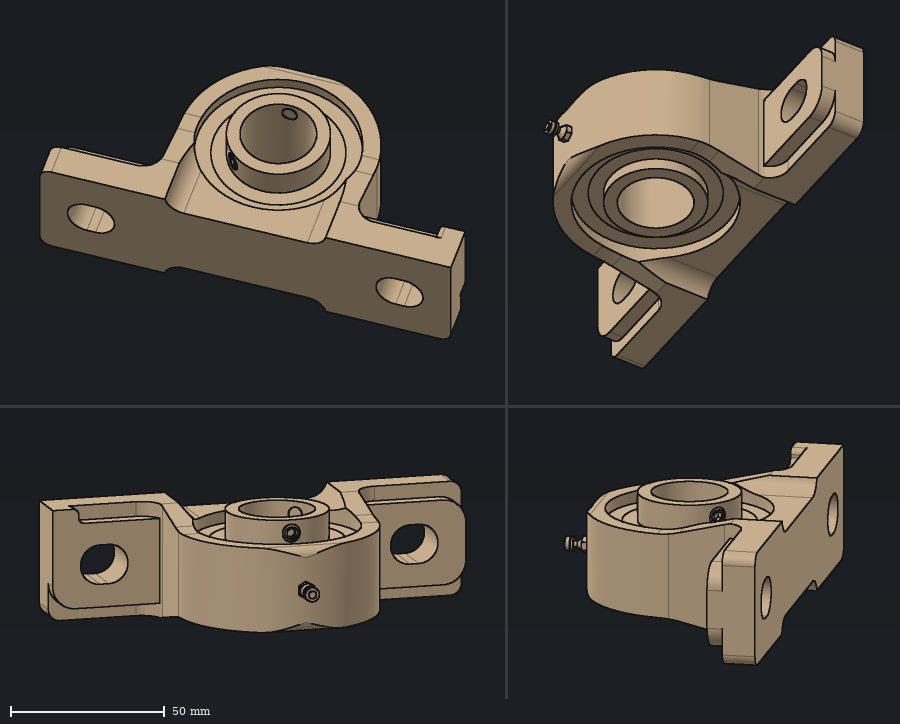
import cadquery as cq
import math


foot_length = 140.0
foot_depth = 38.1
foot_corner_radius = 3.9
foot_floor = 10.9
pad_top = 16.0
pad_depth = 28.3
pad_corner_radius = 7.7
end_block_length = 6.9
end_block_radius = 2.0
bolt_spacing = 105.0
slot_length = 16.0
slot_width = 13.0

bore_height = 36.5
head_radius = 33.5
head_depth = 28.3
top_round = 3.4
side_fillet = 7.0
bend_radius = 32.2
recess_radius = 27.5
waist_half_width = 21.0
waist_arc_radius = 6.6

insert_radius = 22.0
insert_half_width = 10.1
collar_radius = 17.0
collar_top = 19.7
insert_back = 14.3
shaft_radius = 12.5
screw_radius = 3.0
screw_rim_width = 0.8
screw_height = 15.3
screw_directions = (90.0, 225.0)
socket_across_flats = 3.0
socket_depth = 2.0
screw_tip_radius = 2.5
screw_tip_distance = 12.6

hex_across_flats = 4.9
hex_length = 2.0
neck_radius = 1.1
neck_start = 3.6
nipple_head_start = 4.9
nipple_head_end = 7.5
nipple_head_radius = 2.4
nipple_groove_start = 5.7
nipple_groove_width = 0.3
nipple_groove_depth = 0.3
nipple_tip_radius = 1.3
nipple_length = 8.0
stem_radius = 1.7
stem_length = 4.2

half_length = foot_length / 2
half_foot_depth = foot_depth / 2
half_pad_depth = pad_depth / 2
half_head_depth = head_depth / 2
head_top = bore_height + head_radius


def plate(width, depth, height):
    """Block centred on X and Z that stands on Y = 0."""
    return cq.Workplane("XY").box(width, height, depth, centered=(True, False, True))


def cylinder_z(radius, bottom, top):
    """Cylinder around the bore axis between two Z levels."""
    disc = cq.Workplane("XY", origin=(0, bore_height, bottom)).circle(radius)
    return disc.extrude(top - bottom)


def foot():
    """Foot plate with a raised pad and a square block, eased in by an S curve, on its +X, +Z corner."""
    base = plate(foot_length, foot_depth, foot_floor).edges("|Y").fillet(foot_corner_radius)
    pad = plate(foot_length, pad_depth, pad_top).edges("|Y").fillet(pad_corner_radius)
    block_start = half_length - end_block_length
    step = block_start - end_block_radius
    corner = (
        cq.Workplane("XZ")
        .moveTo(half_length, 0)
        .lineTo(half_length, half_foot_depth)
        .lineTo(block_start, half_foot_depth)
        .radiusArc((step, half_foot_depth - end_block_radius), -end_block_radius)
        .lineTo(step, half_pad_depth + end_block_radius)
        .radiusArc((step - end_block_radius, half_pad_depth), end_block_radius)
        .lineTo(step - end_block_radius, 0)
        .close()
        .extrude(-pad_top)
    )
    return base.union(pad).union(corner)


def head_outline():
    """Front outline of the head, running out into the foot with concave fillets."""
    fillet_end = head_radius + side_fillet
    fillet_top = foot_floor + side_fillet
    return (
        cq.Workplane("XY", origin=(0, 0, -half_foot_depth))
        .moveTo(-fillet_end, 0)
        .lineTo(-fillet_end, foot_floor)
        .radiusArc((-head_radius, fillet_top), -side_fillet)
        .lineTo(-head_radius, bore_height)
        .threePointArc((0, head_top), (head_radius, bore_height))
        .lineTo(head_radius, fillet_top)
        .radiusArc((fillet_end, foot_floor), -side_fillet)
        .lineTo(fillet_end, 0)
        .close()
        .extrude(foot_depth)
    )


def head_side_profile():
    """Side outline: full foot depth below, tapering to the head depth, rounded at the top."""
    taper = math.atan2(half_foot_depth - half_head_depth, bore_height - pad_top)
    bend_reach = bend_radius * math.tan(taper / 2)
    bend_low_y = bore_height - bend_reach * math.cos(taper)
    bend_low_z = half_head_depth + bend_reach * math.sin(taper)
    bend_high_y = bore_height + bend_reach
    half = (
        cq.Workplane("YZ", origin=(-half_length, 0, 0))
        .moveTo(0, 0)
        .lineTo(0, half_foot_depth)
        .lineTo(pad_top, half_foot_depth)
        .lineTo(bend_low_y, bend_low_z)
        .radiusArc((bend_high_y, half_head_depth), -bend_radius)
        .lineTo(head_top - top_round, half_head_depth)
        .radiusArc((head_top, half_head_depth - top_round), top_round)
        .lineTo(head_top, 0)
        .close()
        .extrude(foot_length)
    )
    return half.union(half.mirror("XY"))


def waist_cut():
    """Hollow along Y in the +Z face, with a concave arc at each side."""
    arc_center_z = half_head_depth + waist_arc_radius
    rise = arc_center_z - half_foot_depth
    reach = math.sqrt(waist_arc_radius**2 - rise**2)
    outer = waist_half_width + reach
    return (
        cq.Workplane("XZ")
        .moveTo(-outer, half_foot_depth)
        .radiusArc((-waist_half_width, half_head_depth), -waist_arc_radius)
        .lineTo(waist_half_width, half_head_depth)
        .radiusArc((outer, half_foot_depth), -waist_arc_radius)
        .close()
        .extrude(-bore_height)
    )


def bolt_slots():
    return (
        cq.Workplane("XZ")
        .pushPoints([(-bolt_spacing / 2, 0), (bolt_spacing / 2, 0)])
        .slot2D(slot_length, slot_width)
        .extrude(-pad_top)
    )


def nipple_stem():
    """Plain stem of the nipple, also the shape of its hole in the housing."""
    return (
        cq.Workplane("XZ", origin=(0, head_top - stem_length, 0))
        .circle(stem_radius)
        .extrude(-stem_length)
    )


def make_housing():
    head = head_outline().intersect(head_side_profile())
    hollow = waist_cut()
    body = head.union(foot()).cut(hollow).cut(hollow.mirror("XY"))
    recess = cylinder_z(recess_radius, insert_half_width, half_foot_depth)
    body = body.cut(recess).cut(recess.mirror("XY"))
    seat = cylinder_z(insert_radius, -insert_half_width, insert_half_width)
    return body.cut(seat).cut(bolt_slots()).cut(nipple_stem())


def set_screw_cut(direction):
    """Cut that leaves a set screw in the collar: rim chamfer, hex socket and flat tip in the bore."""
    rim = (
        cq.Workplane("XZ", origin=(0, 0, collar_radius))
        .moveTo(screw_radius, 0)
        .lineTo(screw_radius, -screw_rim_width)
        .lineTo(screw_radius - screw_rim_width, 0)
        .close()
        .revolve(360, (0, 0), (0, 1))
    )
    socket = (
        cq.Workplane("XY", origin=(0, 0, collar_radius - socket_depth))
        .polygon(6, socket_across_flats / math.cos(math.pi / 6))
        .extrude(socket_depth)
    )
    tip_hole = cq.Workplane("XY").circle(screw_tip_radius).extrude(screw_tip_distance)
    return (
        rim.union(socket)
        .union(tip_hole)
        .rotate((0, 0, 0), (0, 1, 0), 90)
        .rotate((0, 0, 0), (0, 0, 1), direction)
        .translate((0, bore_height, screw_height))
    )


def make_insert():
    body = cylinder_z(insert_radius, -insert_half_width, insert_half_width)
    body = body.union(cylinder_z(collar_radius, -insert_back, collar_top))
    body = body.cut(cylinder_z(shaft_radius, -insert_back, collar_top))
    for direction in screw_directions:
        body = body.cut(set_screw_cut(direction))
    return body


def make_nipple():
    hexagon = (
        cq.Workplane("XZ", origin=(0, head_top, 0))
        .polygon(6, hex_across_flats / math.cos(math.pi / 6))
        .extrude(-hex_length)
        .rotate((0, 0, 0), (0, 1, 0), 90)
    )
    groove_end = nipple_groove_start + nipple_groove_width
    groove_radius = nipple_head_radius - nipple_groove_depth
    fitting = (
        cq.Workplane("XY", origin=(0, head_top, 0))
        .moveTo(0, hex_length)
        .lineTo(hex_across_flats / 2, hex_length)
        .lineTo(neck_radius, neck_start)
        .lineTo(neck_radius, nipple_head_start)
        .lineTo(nipple_head_radius, nipple_head_start)
        .lineTo(nipple_head_radius, nipple_groove_start)
        .lineTo(groove_radius, nipple_groove_start)
        .lineTo(groove_radius, groove_end)
        .lineTo(nipple_head_radius, groove_end)
        .lineTo(nipple_head_radius, nipple_head_end)
        .lineTo(nipple_tip_radius, nipple_head_end)
        .lineTo(nipple_tip_radius, nipple_length)
        .lineTo(0, nipple_length)
        .close()
        .revolve(360, (0, 0), (0, 1))
    )
    return nipple_stem().union(hexagon).union(fitting)


housing = make_housing()
insert = make_insert()
nipple = make_nipple()

result = cq.Compound.makeCompound([housing.val(), insert.val(), nipple.val()])